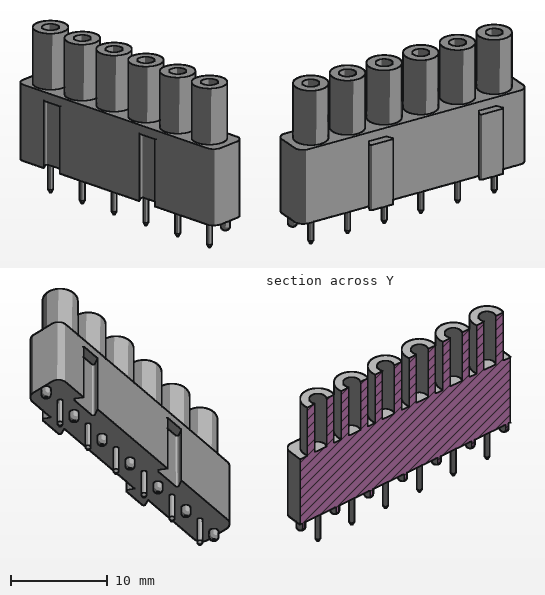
import cadquery as cq
import math

housing_length = 28.0
housing_depth = 4.48
housing_height = 8.5
corner_radius = 1.0

contact_count = 6
peg_count = contact_count + 1
peg_diameter = 1.0
peg_shank_length = 0.65
peg_end_diameter = 0.245
contact_pitch = (housing_length - peg_diameter) / contact_count

sleeve_diameter = 3.7
sleeve_height = 6.25
bore_diameter = 1.8
bore_depth = sleeve_height
pin_diameter = 0.6
pin_length = 3.65
pin_tip_diameter = 0.188
pin_tip_length = 0.4

dovetail_row_places = (0.5, 3.5)
dovetail_top_gap = 1.0
dovetail_height = housing_height - dovetail_top_gap
dovetail_edge_radius = 0.2
rib_depth = 0.92
rib_root_width = 2.18
rib_outer_width = 3.1
groove_depth = 1.0
groove_mouth_width = 2.25
groove_floor_width = 3.42


def row_positions(count):
    """X, Y places of a centred row at the contact pitch."""
    first = -(count - 1) * contact_pitch / 2
    return [(first + i * contact_pitch, 0) for i in range(count)]


def make_dovetail(centre_x, face_y, narrow_width, wide_width, depth):
    """Upright prism from its narrow side at face_y to a wider, round-edged side further along +Y."""
    wide_y = face_y + depth
    return (
        cq.Workplane("XY")
        .moveTo(centre_x - narrow_width / 2, face_y)
        .lineTo(centre_x - wide_width / 2, wide_y)
        .lineTo(centre_x + wide_width / 2, wide_y)
        .lineTo(centre_x + narrow_width / 2, face_y)
        .close()
        .extrude(dovetail_height)
        .faces(">Y")
        .edges("|Z")
        .fillet(dovetail_edge_radius)
    )


def make_housing():
    return (
        cq.Workplane("XY")
        .box(housing_length, housing_depth, housing_height, centered=(True, True, False))
        .edges("|Z")
        .fillet(corner_radius)
    )


def make_rib(centre_x):
    return make_dovetail(centre_x, housing_depth / 2, rib_root_width, rib_outer_width, rib_depth)


def make_groove(centre_x):
    return make_dovetail(
        centre_x, -housing_depth / 2, groove_mouth_width, groove_floor_width, groove_depth
    )


def make_sleeve():
    return (
        cq.Workplane("XY", origin=(0, 0, housing_height))
        .circle(sleeve_diameter / 2)
        .extrude(sleeve_height)
    )


def make_bore():
    sleeve_top = housing_height + sleeve_height
    return (
        cq.Workplane("XY", origin=(0, 0, sleeve_top))
        .circle(bore_diameter / 2)
        .extrude(-bore_depth)
    )


def make_pin():
    """Solder pin with a blunt conical tip."""
    return (
        cq.Workplane("XZ")
        .lineTo(pin_diameter / 2, 0)
        .lineTo(pin_diameter / 2, pin_tip_length - pin_length)
        .lineTo(pin_tip_diameter / 2, -pin_length)
        .lineTo(0, -pin_length)
        .close()
        .revolve(360, (0, 0, 0), (0, 1, 0))
    )


def make_peg():
    """Standoff peg with a spherical dome cut flat at its end."""
    radius = peg_diameter / 2
    end_radius = peg_end_diameter / 2
    dome_height = math.sqrt(radius**2 - end_radius**2)
    diagonal = radius * math.sqrt(0.5)
    end_z = -peg_shank_length - dome_height
    return (
        cq.Workplane("XZ")
        .lineTo(radius, 0)
        .lineTo(radius, -peg_shank_length)
        .threePointArc((diagonal, -peg_shank_length - diagonal), (end_radius, end_z))
        .lineTo(0, end_z)
        .close()
        .revolve(360, (0, 0, 0), (0, 1, 0))
    )


result = make_housing()

contacts = row_positions(contact_count)
first_contact_x = contacts[0][0]
for place in dovetail_row_places:
    dovetail_x = first_contact_x + place * contact_pitch
    result = result.union(make_rib(dovetail_x))
    result = result.cut(make_groove(dovetail_x))

for x, y in contacts:
    result = result.union(make_sleeve().translate((x, y, 0)))
    result = result.cut(make_bore().translate((x, y, 0)))
    result = result.union(make_pin().translate((x, y, 0)))

for x, y in row_positions(peg_count):
    result = result.union(make_peg().translate((x, y, 0)))